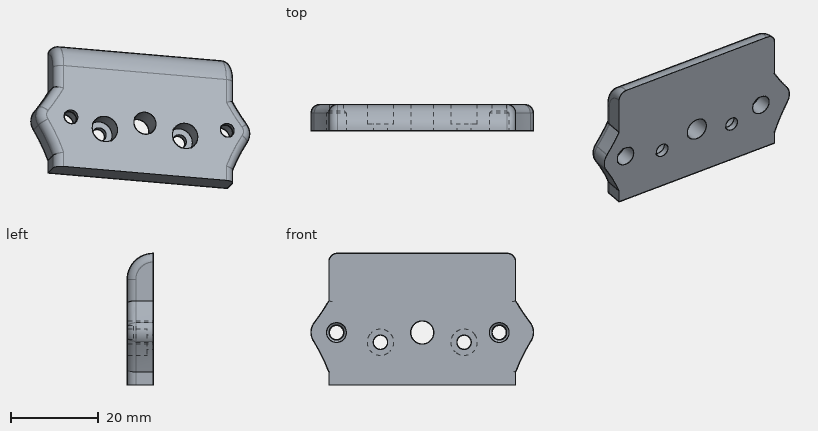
import cadquery as cq

THICKNESS = 6.0
HEIGHT = 29.99
BODY_HALF_WIDTH = 21.25
EDGE_RADIUS = 2.0
TOP_RADIUS = THICKNESS

EAR_BOTTOM = (BODY_HALF_WIDTH, 3.0)
LOWER_FLANK_MIDDLE = (22.78, 6.5)
TIP_BOTTOM = (24.68, 9.95)
TIP_APEX = (25.31, 12.0)
TIP_TOP = (24.56, 14.2)
UPPER_FLANK_MIDDLE = (22.78, 16.7)
EAR_TOP = (BODY_HALF_WIDTH, 19.15)

TOLERANCE = 0.01

CENTER_HOLE_DIAMETER = 5.2
SMALL_DIAMETER = 3.2
MAIN_HOLE_HEIGHT = 11.95
EAR_HOLE_SPACING = 37.0
EAR_HOLE_SHIFT = -1.0
EAR_BORE_DIAMETER = 4.5
EAR_BORE_DEPTH = 4.0
EAR_LEDGE_DIAMETER = 3.4
SCREW_HOLE_OFFSET = 9.5
SCREW_HOLE_HEIGHT = 9.74
SCREW_HEAD_DIAMETER = 6.0
SCREW_SEAT_DEPTH = 1.5


def rolled_body():
    """Rectangular body with its top edge rolled over towards the rear."""
    width = 2 * BODY_HALF_WIDTH
    profile = (
        cq.Workplane("YZ", origin=(-BODY_HALF_WIDTH, 0, 0))
        .lineTo(THICKNESS, 0)
        .lineTo(THICKNESS, HEIGHT - TOP_RADIUS)
        .radiusArc((0, HEIGHT), -TOP_RADIUS)
        .close()
    )
    return profile.extrude(width)


def ear():
    """Right-hand ear with curved flanks and a round tip."""
    return (
        cq.Workplane("XZ")
        .moveTo(*EAR_BOTTOM)
        .threePointArc(LOWER_FLANK_MIDDLE, TIP_BOTTOM)
        .threePointArc(TIP_APEX, TIP_TOP)
        .threePointArc(UPPER_FLANK_MIDDLE, EAR_TOP)
        .lineTo(0, EAR_TOP[1])
        .lineTo(0, EAR_BOTTOM[1])
        .close()
        .extrude(-THICKNESS)
    )


def rear_side_edges(plate):
    """Outline edges of the rear face and of the rolled top, on both sides."""
    def is_rear_side_edge(edge):
        box = edge.BoundingBox()
        on_side = abs(edge.Center().x) > BODY_HALF_WIDTH - TOLERANCE
        on_rear = box.ymin > THICKNESS - TOLERANCE
        on_rolled_top = box.ymax > THICKNESS - TOLERANCE and box.zmax > HEIGHT - TOLERANCE
        return on_side and (on_rear or on_rolled_top)

    return [edge for edge in plate.edges().vals() if is_rear_side_edge(edge)]


def bore(x, z, diameter, start, depth):
    """Cylinder along +Y from Y = start."""
    return cq.Workplane("XZ", origin=(x, start, z)).circle(diameter / 2).extrude(-depth)


def ear_hole(x):
    """Wide front bore that tapers at its floor to a narrow ledge and a small through hole."""
    bore_radius = EAR_BORE_DIAMETER / 2
    ledge_radius = EAR_LEDGE_DIAMETER / 2
    throat_radius = SMALL_DIAMETER / 2
    taper_end = EAR_BORE_DEPTH + bore_radius - ledge_radius
    return (
        cq.Workplane("XY", origin=(x, 0, MAIN_HOLE_HEIGHT))
        .lineTo(bore_radius, 0)
        .lineTo(bore_radius, EAR_BORE_DEPTH)
        .lineTo(ledge_radius, taper_end)
        .lineTo(throat_radius, taper_end)
        .lineTo(throat_radius, THICKNESS)
        .lineTo(0, THICKNESS)
        .close()
        .revolve(360, (0, 0, 0), (0, 1, 0))
    )


def screw_hole(x):
    """Small through hole with a wider screw head recess sunk from the rear."""
    recess_depth = THICKNESS - SCREW_SEAT_DEPTH
    return (
        bore(x, SCREW_HOLE_HEIGHT, SMALL_DIAMETER, 0, THICKNESS)
        .union(bore(x, SCREW_HOLE_HEIGHT, SCREW_HEAD_DIAMETER, SCREW_SEAT_DEPTH, recess_depth))
    )


right_ear = ear()
plate = rolled_body().union(right_ear).union(right_ear.mirror("YZ"))
plate = plate.newObject(rear_side_edges(plate)).fillet(EDGE_RADIUS)

plate = plate.cut(bore(0, MAIN_HOLE_HEIGHT, CENTER_HOLE_DIAMETER, 0, THICKNESS))
for side in (-1, 1):
    plate = plate.cut(ear_hole(EAR_HOLE_SHIFT + side * EAR_HOLE_SPACING / 2))
    plate = plate.cut(screw_hole(side * SCREW_HOLE_OFFSET))

result = plate